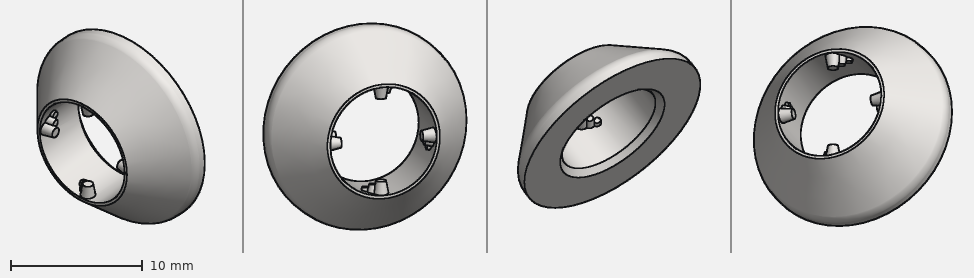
import cadquery as cq
import math

outer_radius = 8.0
bore_radius = 8.5 / 2
front_radius = 4.5
depth = 5.0
rim_width = 1.0
rim_rounding = 1.0
bore_chamfer = 0.5

cluster_count = 4
pin_root_distance = 4.37
pins = [
    (0.0, 0.67, 3.25, 0.4, 0.6),
    (0.55, 1.02, 3.55, 0.27, 0.51),
    (1.02, 1.35, 3.84, 0.25, 0.42),
]


def make_ring():
    """Cone with a rounded rim and a through bore, chamfered at the back."""
    cone_angle = math.atan2(outer_radius - front_radius, depth - rim_width)
    tangent_length = rim_rounding * math.tan(cone_angle / 2)
    arc_center_x = outer_radius - rim_rounding
    arc_start_y = -(rim_width - tangent_length)

    def arc_point(angle):
        return (
            arc_center_x + rim_rounding * math.cos(angle),
            arc_start_y - rim_rounding * math.sin(angle),
        )

    return (
        cq.Workplane("XY")
        .moveTo(bore_radius + bore_chamfer, 0)
        .lineTo(outer_radius, 0)
        .lineTo(outer_radius, arc_start_y)
        .threePointArc(arc_point(cone_angle / 2), arc_point(cone_angle))
        .lineTo(front_radius, -depth)
        .lineTo(bore_radius, -depth)
        .lineTo(bore_radius, -bore_chamfer)
        .close()
        .revolve(360, (0, 0, 0), (0, 1, 0))
    )


def make_pin(side_offset, front_offset, tip_distance, tip_radius, root_radius):
    """Tapered pin pointing up from the bottom of the bore."""
    height = pin_root_distance - tip_distance
    root_center = cq.Vector(-side_offset, front_offset - depth, -pin_root_distance)
    return cq.Solid.makeCone(root_radius, tip_radius, height, root_center, cq.Vector(0, 0, 1))


result = make_ring()
for cluster in range(cluster_count):
    turn = cluster * 360 / cluster_count
    for pin in pins:
        result = result.union(make_pin(*pin).rotate((0, 0, 0), (0, 1, 0), turn))